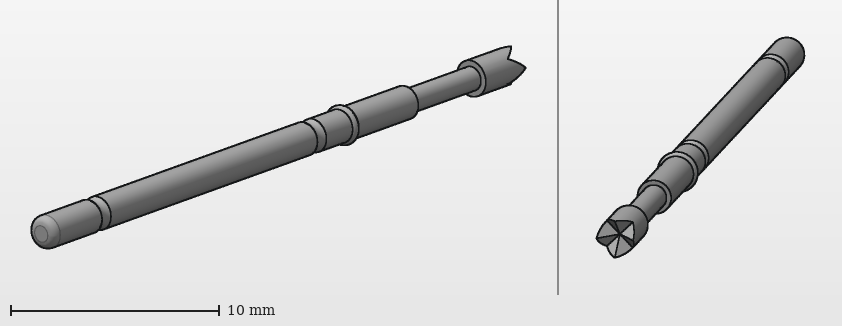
import cadquery as cq
import math

total_length = 35.4

head_length = 3.0
head_radius = 0.903
crown_depth = 1.03

plunger_length = 5.0
plunger_radius = 0.6

barrel_length = total_length - head_length - plunger_length
barrel_radius = 0.832
tail_round = 0.42

ring_y = 22.65
ring_radius = 1.0
ring_width = 0.42

crimp_places = (3.93, 20.15)
crimp_width = 0.67
crimp_depth = 0.15


def cylinder_along_y(start, length, radius):
    """Solid cylinder on the Y axis, from Y = start to Y = start + length."""
    base = cq.Workplane("XZ", origin=(0, start, 0))
    return base.circle(radius).extrude(-length)


def revolve_about_y(profile):
    """Turn a closed XY profile once round the Y axis."""
    return profile.revolve(360, (0, 0, 0), (0, 1, 0))


def make_barrel():
    """Barrel tube with its tail end rounded over."""
    barrel = cylinder_along_y(0, barrel_length, barrel_radius)
    return barrel.faces("<Y").edges().fillet(tail_round)


def make_ring():
    """Raised ring whose outer face has a half-round section."""
    half_width = ring_width / 2
    crown_start = ring_radius - half_width
    profile = (
        cq.Workplane("XY")
        .moveTo(0, ring_y - half_width)
        .lineTo(crown_start, ring_y - half_width)
        .threePointArc((ring_radius, ring_y), (crown_start, ring_y + half_width))
        .lineTo(0, ring_y + half_width)
        .close()
    )
    return revolve_about_y(profile)


def make_crimp(y):
    """Ring-shaped cutter for a shallow concave groove centred at y."""
    cutter_radius = ((crimp_width / 2) ** 2 + crimp_depth**2) / (2 * crimp_depth)
    center_x = barrel_radius - crimp_depth + cutter_radius
    return revolve_about_y(cq.Workplane("XY").moveTo(center_x, y).circle(cutter_radius))


def make_crown_cutter(angle):
    """V-shaped cutter across the head, turned by angle degrees about Y."""
    tip_offset = head_radius * math.sin(math.radians(45))
    overshoot = 2.0
    valley_y = total_length - crown_depth
    half_width = tip_offset * overshoot
    cutter = (
        cq.Workplane("XY")
        .moveTo(0, valley_y)
        .lineTo(half_width, valley_y + crown_depth * overshoot)
        .lineTo(-half_width, valley_y + crown_depth * overshoot)
        .close()
        .extrude(2 * head_radius, both=True)
    )
    return cutter.rotate((0, 0, 0), (0, 1, 0), angle)


def make_head():
    """Head cut by two crossed V-grooves, leaving tips at +X, -X, +Z and -Z."""
    head = cylinder_along_y(total_length - head_length, head_length, head_radius)
    for angle in (45, -45):
        head = head.cut(make_crown_cutter(angle))
    return head


result = make_barrel().union(make_ring())
for crimp_y in crimp_places:
    result = result.cut(make_crimp(crimp_y))

result = result.union(cylinder_along_y(barrel_length, plunger_length, plunger_radius))
result = result.union(make_head())